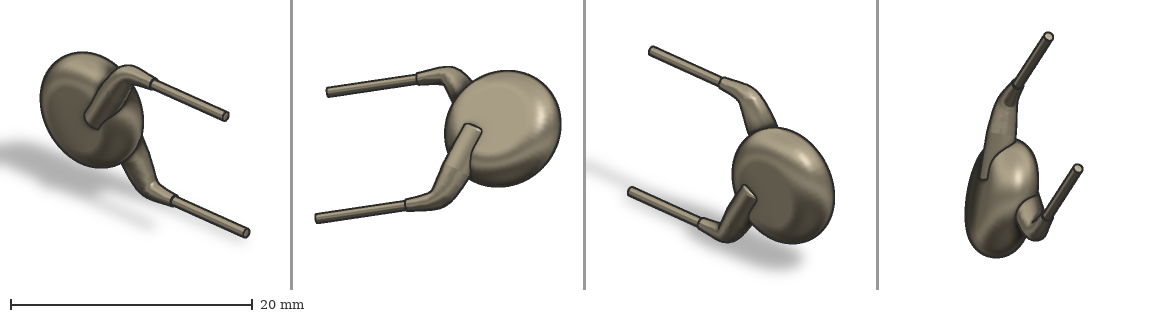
import cadquery as cq
import math

disc_diameter = 10.0
disc_thickness = 4.2
rim_radius = disc_thickness / 2
flat_radius = disc_diameter / 2 - rim_radius

overall_length = 21.0
overall_depth = 5.0
lead_diameter = 0.8
lead_length = 8.0
lead_height = 6.13
lead_offset = 1.28
lead_end_x = overall_length - disc_diameter / 2
lead_start_x = lead_end_x - lead_length

sleeve_radius = overall_depth / 2 - lead_offset
sleeve_length = 3.97
tip_fillet = 0.32
neck_radius = 0.5
arm_angle = 60.0
bend_reach = 3.05
bend_corner_x = 5.06
taper_length = 2.77

arm_x = math.cos(math.radians(arm_angle))
arm_z = math.sin(math.radians(arm_angle))
arm_direction = cq.Vector(arm_x, 0, arm_z)


def make_disc():
    """Solid of revolution about Y with a half-round rim."""
    profile = (
        cq.Workplane("XY")
        .moveTo(0, -rim_radius)
        .lineTo(flat_radius, -rim_radius)
        .threePointArc((disc_diameter / 2, 0), (flat_radius, rim_radius))
        .lineTo(0, rim_radius)
        .close()
    )
    return profile.revolve(360, (0, 0, 0), (0, 1, 0))


def make_arm():
    """Sleeve, tapered bend and lead on the front (-Y) face."""
    corner = cq.Vector(bend_corner_x, -lead_offset, lead_height)
    joint = corner - arm_direction * taper_length
    tip = joint - arm_direction * sleeve_length

    sleeve_plane = cq.Plane(origin=tip, xDir=(0, 1, 0), normal=arm_direction)
    sleeve = (
        cq.Workplane(sleeve_plane)
        .circle(sleeve_radius)
        .extrude(sleeve_length)
        .faces("<Z")
        .edges()
        .fillet(tip_fillet)
    )

    neck = cq.Vector(lead_start_x, -lead_offset, lead_height)
    sleeve_control = joint + arm_direction * bend_reach
    lead_control = neck - cq.Vector(bend_reach, 0, 0)
    path = cq.Wire.assembleEdges([
        cq.Edge.makeBezier([joint, sleeve_control, lead_control, neck]),
    ])
    joint_plane = cq.Plane(origin=joint, xDir=(0, 1, 0), normal=arm_direction)
    neck_plane = cq.Plane(origin=neck, xDir=(0, 1, 0), normal=(1, 0, 0))
    joint_section = cq.Workplane(joint_plane).circle(sleeve_radius)
    neck_section = cq.Workplane(neck_plane).circle(neck_radius)
    bend = (
        cq.Workplane(joint_plane)
        .add(joint_section.ctx.pendingWires)
        .add(neck_section.ctx.pendingWires)
        .toPending()
        .sweep(cq.Workplane(path), multisection=True)
    )

    lead = cq.Workplane(neck_plane).circle(lead_diameter / 2).extrude(lead_length)
    return sleeve.union(bend).union(lead)


front_arm = make_arm()
back_arm = front_arm.rotate((0, 0, 0), (1, 0, 0), 180)
result = make_disc().union(front_arm).union(back_arm)